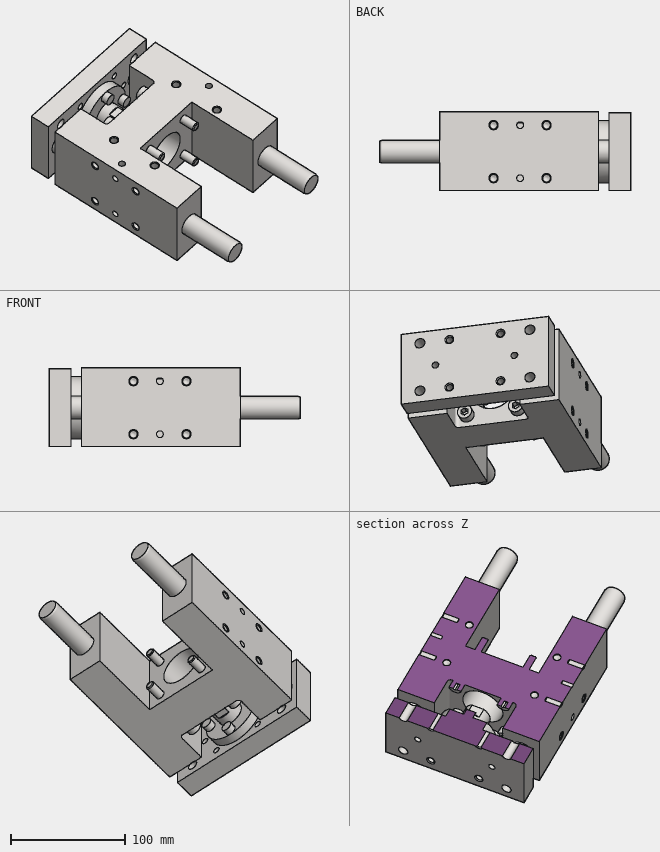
import cadquery as cq
import math

TOTAL_LENGTH = 220.0
PLATE_THICKNESS = 19.4
PLATE_WIDTH = 134.0
PLATE_HEIGHT = 68.2
AXIS_Z = PLATE_HEIGHT / 2

HOUSING_START = 28.2
HOUSING_END = 167.5
HOUSING_LENGTH = HOUSING_END - HOUSING_START
HOUSING_WIDTH = 137.0
HOUSING_HEIGHT = 69.0
WEB_FRONT = 57.9
WEB_REAR = 97.7
FRONT_POCKET_WIDTH = 66.0
REAR_POCKET_WIDTH = 70.5
POCKET_FILLET = 3.0
WEB_BORE_DIAMETER = 38.7

PATTERN_PITCH = 46.5
HALF_PITCH = PATTERN_PITCH / 2
HOLE_PATTERN_X = 97.0

WEB_HEAD_DIAMETER = 13.0
WEB_HEAD_LENGTH = 8.1
WEB_SHANK_DIAMETER = 8.1
WEB_SHANK_END = 112.9
WEB_SHANK_CHAMFER = 0.9
SOCKET_SIDES = 6
SOCKET_WIDTH = 6.0
SOCKET_DEPTH = 6.5
SOCKET_TURN = 30

TAP_DIAMETER = 6.5
TAP_CHAMFER_DIAMETER = 8.1
TAP_DEPTH = 15.0
TAP_TIP_HALF_ANGLE = math.radians(65)
TOP_TAP_Y = 42.5
DOWEL_DIAMETER = 6.0
TOP_DOWEL_Y = 59.5
TOP_DOWEL_DEPTH = 10.0
SIDE_DOWEL_DEPTH = 10.3

ROD_DIAMETER = 20.0
ROD_Y = 52.0
ROD_CHAMFER_LENGTH = 2.2
ROD_CHAMFER_DEPTH = 0.7

FLANGE_DIAMETER = 55.0
HUB_DIAMETER = 24.0
HUB_END = 47.5
HUB_FLATS_WIDTH = 21.1
HUB_FLATS_LENGTH = 9.7
FLANGE_HEAD_DIAMETER = 10.0
FLANGE_HEAD_END = 34.3
FLANGE_HEAD_RADIUS = 22.5

CLEARANCE_DIAMETER = 9.0
CLEARANCE_Y = 50.0
PLATE_TAP_DIAMETER = 6.0
PLATE_TAP_CHAMFER_DIAMETER = 8.0
PLATE_DOWEL_Y = 35.9

SIDES = (-1, 1)
ALONG_X = cq.Vector(1, 0, 0)
DOWN = cq.Vector(0, 0, -1)


def cylinder(diameter, length, start, direction):
    """Solid cylinder running from a start point along a direction."""
    return cq.Solid.makeCylinder(diameter / 2, length, cq.Vector(*start), direction)


def x_cylinder(diameter, x_start, x_end, y=0.0, z=AXIS_Z):
    """Solid cylinder parallel to X between two X positions."""
    return cylinder(diameter, x_end - x_start, (x_start, y, z), ALONG_X)


def countersink(diameter, mouth_diameter, start, direction):
    """45 degree chamfer cutter for the mouth of a hole."""
    depth = (mouth_diameter - diameter) / 2
    return cq.Solid.makeCone(mouth_diameter / 2, diameter / 2, depth, cq.Vector(*start), direction)


def tapped_hole(start, direction):
    """Cutter for a chamfered blind hole with a drill-point bottom."""
    tip_length = TAP_DIAMETER / 2 / math.tan(TAP_TIP_HALF_ANGLE)
    tip_start = cq.Vector(*start) + direction * TAP_DEPTH
    tip = cq.Solid.makeCone(TAP_DIAMETER / 2, 0, tip_length, tip_start, direction)
    mouth = countersink(TAP_DIAMETER, TAP_CHAMFER_DIAMETER, start, direction)
    return cylinder(TAP_DIAMETER, TAP_DEPTH, start, direction).fuse(tip, mouth)


def square_pattern():
    """Y and Z of the four points of the square pattern around the axis."""
    return [(y * HALF_PITCH, AXIS_Z + z * HALF_PITCH) for y in SIDES for z in SIDES]


def housing_block():
    """H-shaped block with the rod bores and the bore in the web."""
    block = cq.Workplane("XY").box(
        HOUSING_LENGTH, HOUSING_WIDTH, HOUSING_HEIGHT, centered=(False, True, False)
    ).translate((HOUSING_START, 0, 0))
    front_pocket = (
        cq.Workplane("XY")
        .box(WEB_FRONT - HOUSING_START, FRONT_POCKET_WIDTH, HOUSING_HEIGHT, centered=(False, True, False))
        .edges("|Z and >X")
        .fillet(POCKET_FILLET)
        .translate((HOUSING_START, 0, 0))
    )
    rear_pocket = cq.Workplane("XY").box(
        HOUSING_END - WEB_REAR, REAR_POCKET_WIDTH, HOUSING_HEIGHT, centered=(False, True, False)
    ).translate((WEB_REAR, 0, 0))
    block = block.cut(front_pocket).cut(rear_pocket)
    block = block.cut(cq.Workplane(x_cylinder(WEB_BORE_DIAMETER, WEB_FRONT, WEB_REAR)))
    for side in SIDES:
        block = block.cut(cq.Workplane(x_cylinder(ROD_DIAMETER, HOUSING_START, HOUSING_END, side * ROD_Y)))
    return block


def housing_holes():
    """Cutters for the tapped and dowel holes in the top and in both sides."""
    cutters = []
    for side in SIDES:
        inward = cq.Vector(0, -side, 0)
        side_y = side * HOUSING_WIDTH / 2
        top_dowel_start = (HOLE_PATTERN_X, side * TOP_DOWEL_Y, HOUSING_HEIGHT)
        cutters.append(cylinder(DOWEL_DIAMETER, TOP_DOWEL_DEPTH, top_dowel_start, DOWN))
        for end in SIDES:
            tap_x = HOLE_PATTERN_X + end * HALF_PITCH
            cutters.append(tapped_hole((tap_x, side * TOP_TAP_Y, HOUSING_HEIGHT), DOWN))
        for level in SIDES:
            z = AXIS_Z + level * HALF_PITCH
            cutters.append(cylinder(DOWEL_DIAMETER, SIDE_DOWEL_DEPTH, (HOLE_PATTERN_X, side_y, z), inward))
            for end in SIDES:
                tap_x = HOLE_PATTERN_X + end * HALF_PITCH
                cutters.append(tapped_hole((tap_x, side_y, z), inward))
    return cutters


def web_screw(y, z):
    """Socket head screw whose head sits on the front of the web and whose tip leaves the rear."""
    head_start = WEB_FRONT - WEB_HEAD_LENGTH
    socket = (
        cq.Workplane("YZ", origin=(head_start, y, z))
        .transformed(rotate=(0, 0, SOCKET_TURN))
        .polygon(SOCKET_SIDES, SOCKET_WIDTH / math.cos(math.pi / SOCKET_SIDES))
        .extrude(SOCKET_DEPTH)
    )
    head = cq.Workplane(x_cylinder(WEB_HEAD_DIAMETER, head_start, WEB_FRONT, y, z)).cut(socket)
    shank = cq.Workplane(x_cylinder(WEB_SHANK_DIAMETER, WEB_FRONT, WEB_SHANK_END, y, z))
    return head.union(shank.faces(">X").chamfer(WEB_SHANK_CHAMFER))


def make_housing():
    """Housing with its holes and the four screws fixed in its web."""
    housing = housing_block()
    for cutter in housing_holes():
        housing = housing.cut(cq.Workplane(cutter))
    for y, z in square_pattern():
        housing = housing.union(web_screw(y, z))
    return housing


def plate_with_holes():
    """Front plate with clearance, tapped and dowel holes passing through it."""
    plate = cq.Workplane("XY").box(
        PLATE_THICKNESS, PLATE_WIDTH, PLATE_HEIGHT, centered=(False, True, False)
    )
    for y, z in square_pattern():
        clearance_y = math.copysign(CLEARANCE_Y, y)
        mouth = countersink(PLATE_TAP_DIAMETER, PLATE_TAP_CHAMFER_DIAMETER, (0, y, z), ALONG_X)
        plate = plate.cut(cq.Workplane(x_cylinder(PLATE_TAP_DIAMETER, 0, PLATE_THICKNESS, y, z)))
        plate = plate.cut(cq.Workplane(mouth))
        plate = plate.cut(cq.Workplane(x_cylinder(CLEARANCE_DIAMETER, 0, PLATE_THICKNESS, clearance_y, z)))
    for side in SIDES:
        dowel = x_cylinder(DOWEL_DIAMETER, 0, PLATE_THICKNESS, side * PLATE_DOWEL_Y)
        plate = plate.cut(cq.Workplane(dowel))
    return plate


def coupling():
    """Flange, hub with two wrench flats, and four screw heads on the flange."""
    hub = cq.Workplane(x_cylinder(HUB_DIAMETER, HOUSING_START, HUB_END))
    flats_start = HUB_END - HUB_FLATS_LENGTH
    for side in SIDES:
        flat_z = AXIS_Z + side * HUB_FLATS_WIDTH
        flat_cutter = cq.Workplane("XY").box(
            HUB_FLATS_LENGTH, HUB_DIAMETER, HUB_FLATS_WIDTH, centered=(False, True, True)
        ).translate((flats_start, 0, flat_z))
        hub = hub.cut(flat_cutter)
    body = hub.union(cq.Workplane(x_cylinder(FLANGE_DIAMETER, PLATE_THICKNESS, HOUSING_START)))
    for side in SIDES:
        offset = side * FLANGE_HEAD_RADIUS
        for y, z in ((offset, AXIS_Z), (0, AXIS_Z + offset)):
            head = x_cylinder(FLANGE_HEAD_DIAMETER, HOUSING_START, FLANGE_HEAD_END, y, z)
            body = body.union(cq.Workplane(head))
    return body


def guide_rod(y):
    """Rod from the back of the plate to the rear end, with a slender chamfer at its tip."""
    radius = ROD_DIAMETER / 2
    return (
        cq.Workplane("XY")
        .moveTo(PLATE_THICKNESS, 0)
        .lineTo(PLATE_THICKNESS, radius)
        .lineTo(TOTAL_LENGTH - ROD_CHAMFER_LENGTH, radius)
        .lineTo(TOTAL_LENGTH, radius - ROD_CHAMFER_DEPTH)
        .lineTo(TOTAL_LENGTH, 0)
        .close()
        .revolve(360, (0, 0, 0), (1, 0, 0))
        .translate((0, y, AXIS_Z))
    )


def make_slide():
    """Moving slide: front plate, coupling and the two guide rods."""
    slide = plate_with_holes().union(coupling())
    for side in SIDES:
        slide = slide.union(guide_rod(side * ROD_Y))
    return slide


housing = make_housing()
slide = make_slide()
result = cq.Compound.makeCompound([housing.val(), slide.val()])